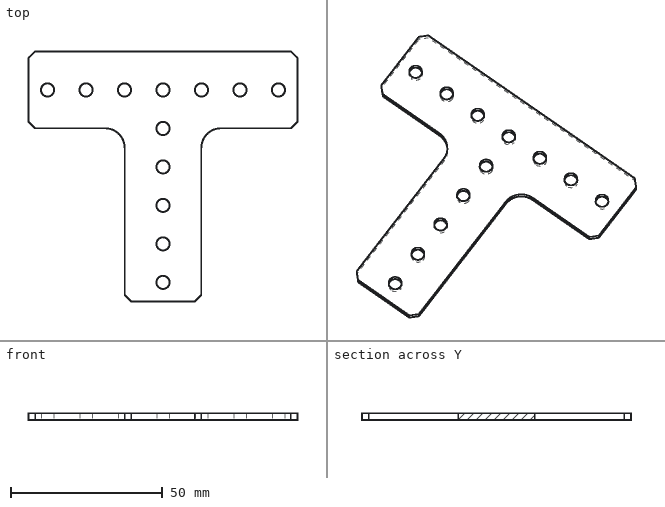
import cadquery as cq

length = 88.9
thickness = 2.3
bar_hole_count = 7
stem_hole_count = 5
hole_diameter = 4.3
corner_chamfer = 2.2

pitch = length / bar_hole_count
arm_width = 2 * pitch
edge_margin = pitch / 2
fillet_radius = pitch / 2
stem_length = stem_hole_count * pitch + edge_margin


def t_plate():
    """Flat T with its bar along X and its stem toward -Y; the bar's hole row lies on Y = 0."""
    bar = cq.Workplane("XY").rect(length, arm_width).extrude(thickness)
    stem = (
        cq.Workplane("XY")
        .center(0, -stem_length / 2)
        .rect(arm_width, stem_length)
        .extrude(thickness)
    )
    return bar.union(stem)


def vertical_edges_at(half_width, y):
    """Selector for the pair of vertical edges at X = +/- half_width on the given Y."""
    reach = 0.1
    right, left = [
        cq.selectors.BoxSelector(
            (x - reach, y - reach, -reach),
            (x + reach, y + reach, thickness + reach),
        )
        for x in (half_width, -half_width)
    ]
    return right + left


bar_corners = vertical_edges_at(length / 2, arm_width / 2) + vertical_edges_at(length / 2, -arm_width / 2)
stem_corners = vertical_edges_at(arm_width / 2, -stem_length)
inner_corners = vertical_edges_at(arm_width / 2, -arm_width / 2)

bar_holes = [((i - (bar_hole_count - 1) / 2) * pitch, 0) for i in range(bar_hole_count)]
stem_holes = [(0, -(i + 1) * pitch) for i in range(stem_hole_count)]
holes = (
    cq.Workplane("XY")
    .pushPoints(bar_holes + stem_holes)
    .circle(hole_diameter / 2)
    .extrude(thickness)
)

result = (
    t_plate()
    .edges("|Z").edges(inner_corners).fillet(fillet_radius)
    .edges("|Z").edges(bar_corners + stem_corners).chamfer(corner_chamfer)
    .cut(holes)
)